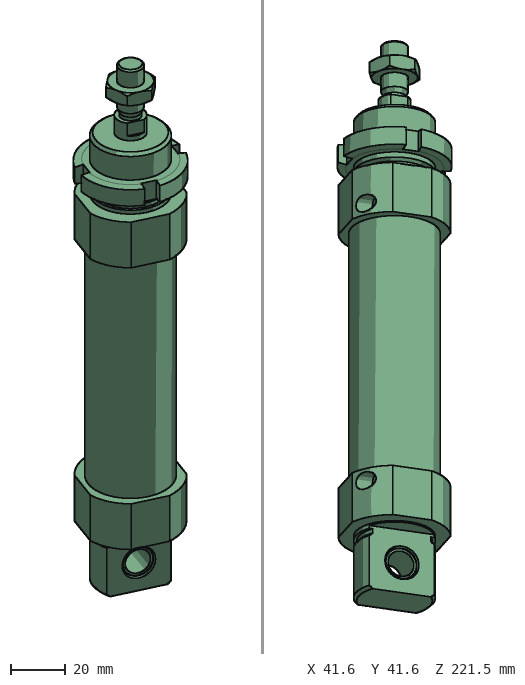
import cadquery as cq
import math

total_height = 221.5

eye_diameter = 30.0
eye_thickness = 16.0
eye_chamfer = 1.15
eye_hole_diameter = 10.0
eye_counterbore_diameter = 12.0
eye_counterbore_depth = 1.0
eye_hole_rim_diameter = 13.2
eye_hole_height = 12.0

collar_height = 1.7
relief_floor_diameter = 27.7
relief_floor_width = 1.7
relief_taper = (eye_diameter - relief_floor_diameter) / 2
eye_flats_gap = 0.6

cap_diameter = 41.2
cap_flats = 38.3
cap_height = 19.6
rear_cap_bottom = 25.6
rear_cap_top = rear_cap_bottom + cap_height
tube_diameter = 33.6
tube_length = 101.2
front_cap_bottom = rear_cap_top + tube_length
front_cap_top = front_cap_bottom + cap_height

screw_hole_diameter = 6.7
screw_hole_offset = 12.7
screw_hole_floor = 12.0
screw_hole_inset = 4.7

neck_diameter = 30.0
neck_top = 192.0
neck_chamfer_height = 1.3
neck_chamfer_width = relief_taper

rod_diameter = 12.0
rod_thread_diameter = 10.0
rod_thread_length = 22.0
rod_thread_chamfer = 0.7
rod_relief_diameter = 8.4
rod_relief_width = 1.5
rod_thread_runout = 2.0
rod_flats = 10.0
rod_flats_length = 5.5
rod_shoulder = total_height - rod_thread_length
rod_bottom = front_cap_bottom

ring_nut_diameter = 42.0
ring_nut_face_diameter = 36.0
ring_nut_height = 8.0
ring_nut_bottom = 172.6
ring_nut_face_drop = 0.5
ring_nut_slot_width = 6.0
ring_nut_slot_floor = 17.5

hex_nut_flats = 17.0
hex_nut_height = 5.5
hex_nut_bottom = 208.6


def cylinder(diameter, bottom, top):
    return cq.Workplane("XY").workplane(offset=bottom).circle(diameter / 2).extrude(top - bottom)


def flat_sided(across_x, across_y, bottom, top):
    height = top - bottom
    return cq.Workplane("XY").box(across_x, across_y, height).translate((0, 0, bottom + height / 2))


def relief_groove(cap_face, direction):
    """Ring that cuts a relief next to a cap's collar, its far side sloped; direction is +1 up or -1 down."""
    inner = relief_floor_diameter / 2
    outer = inner + relief_taper
    shoulder = cap_face + direction * collar_height
    floor_end = shoulder + direction * relief_floor_width
    slope_end = floor_end + direction * relief_taper
    profile = [(inner, shoulder), (outer, shoulder), (outer, slope_end), (inner, floor_end)]
    return cq.Workplane("XZ").polyline(profile).close().revolve(360, (0, 0, 0), (0, 1, 0))


def end_cap(bottom, screw_hole_height):
    top = bottom + cap_height
    cap = cylinder(cap_diameter, bottom, top).intersect(flat_sided(cap_flats, cap_flats, bottom, top))
    screw_hole = (
        cq.Workplane("XZ", origin=(-screw_hole_offset, screw_hole_floor, screw_hole_height))
        .circle(screw_hole_diameter / 2)
        .extrude(-cap_diameter / 2)
    )
    return cap.cut(screw_hole)


def rear_eye():
    eye = cylinder(eye_diameter, 0, rear_cap_bottom).faces("<Z").chamfer(eye_chamfer)
    eye = eye.cut(relief_groove(rear_cap_bottom, -1))
    flats_top = rear_cap_bottom - eye_flats_gap
    eye = eye.intersect(
        flat_sided(eye_thickness, eye_diameter, 0, flats_top).union(
            flat_sided(eye_diameter, eye_diameter, flats_top, rear_cap_bottom)
        )
    )
    hole_radius = eye_hole_diameter / 2
    bore_radius = eye_counterbore_diameter / 2
    rim_radius = eye_hole_rim_diameter / 2
    half = eye_thickness / 2
    rim_end = half - (rim_radius - bore_radius)
    step = half - eye_counterbore_depth
    profile = [
        (-half, 0),
        (-half, rim_radius),
        (-rim_end, bore_radius),
        (-step, bore_radius),
        (-step, hole_radius),
        (step, hole_radius),
        (step, bore_radius),
        (rim_end, bore_radius),
        (half, rim_radius),
        (half, 0),
    ]
    hole = cq.Workplane("XY").polyline(profile).close().revolve(360, (0, 0, 0), (1, 0, 0))
    return eye.cut(hole.translate((0, 0, eye_hole_height)))


def make_housing():
    tube = cylinder(tube_diameter, rear_cap_top, front_cap_bottom)
    neck = cylinder(neck_diameter, front_cap_top, neck_top)
    neck = neck.faces(">Z").chamfer(neck_chamfer_height, neck_chamfer_width)
    neck = neck.cut(relief_groove(front_cap_top, 1))
    housing = rear_eye()
    housing = housing.union(end_cap(rear_cap_bottom, rear_cap_top - screw_hole_inset))
    housing = housing.union(tube)
    housing = housing.union(end_cap(front_cap_bottom, front_cap_bottom + screw_hole_inset))
    housing = housing.union(neck)
    return housing.cut(cylinder(rod_diameter, rod_bottom, neck_top))


def make_rod():
    shank = cylinder(rod_diameter, rod_bottom, rod_shoulder)
    flats_bottom = rod_shoulder - rod_flats_length
    shank = shank.intersect(
        flat_sided(rod_diameter, rod_diameter, rod_bottom, flats_bottom).union(
            flat_sided(rod_flats, rod_diameter, flats_bottom, rod_shoulder)
        )
    )
    relief_top = rod_shoulder + rod_relief_width
    relief = cylinder(rod_relief_diameter, rod_shoulder, relief_top)
    thread = cylinder(rod_thread_diameter, relief_top, total_height).faces(">Z").chamfer(rod_thread_chamfer)
    runout_depth = (rod_thread_diameter - rod_relief_diameter) / 2
    thread = thread.faces("<Z").chamfer(rod_thread_runout, runout_depth)
    return shank.union(relief).union(thread)


def make_ring_nut():
    top = ring_nut_bottom + ring_nut_height
    face_width = (ring_nut_diameter - ring_nut_face_diameter) / 2
    nut = cylinder(ring_nut_diameter, ring_nut_bottom, top)
    nut = nut.faces("<Z or >Z").chamfer(ring_nut_face_drop, face_width)
    nut = nut.cut(cylinder(neck_diameter, ring_nut_bottom, top))
    slot = flat_sided(ring_nut_diameter, ring_nut_slot_width, ring_nut_bottom, top)
    slot = slot.translate((ring_nut_slot_floor + ring_nut_diameter / 2, 0, 0))
    for quarter in range(4):
        nut = nut.cut(slot.rotate((0, 0, 0), (0, 0, 1), 90 * quarter))
    return nut


def make_hex_nut():
    top = hex_nut_bottom + hex_nut_height
    corner_diameter = hex_nut_flats / math.cos(math.pi / 6)
    corner_chamfer = (corner_diameter - hex_nut_flats) / 2
    hexagon = (
        cq.Workplane("XY")
        .workplane(offset=hex_nut_bottom)
        .polygon(6, corner_diameter)
        .extrude(hex_nut_height)
        .rotate((0, 0, 0), (0, 0, 1), 30)
    )
    corner_drop = corner_chamfer * math.tan(math.pi / 6)
    rounding = cylinder(corner_diameter, hex_nut_bottom, top)
    rounding = rounding.faces("<Z or >Z").chamfer(corner_drop, corner_chamfer)
    nut = hexagon.intersect(rounding)
    return nut.cut(cylinder(rod_thread_diameter, hex_nut_bottom, top))


housing = make_housing()
rod = make_rod()
ring_nut = make_ring_nut()
hex_nut = make_hex_nut()

result = cq.Compound.makeCompound([housing.val(), rod.val(), ring_nut.val(), hex_nut.val()])